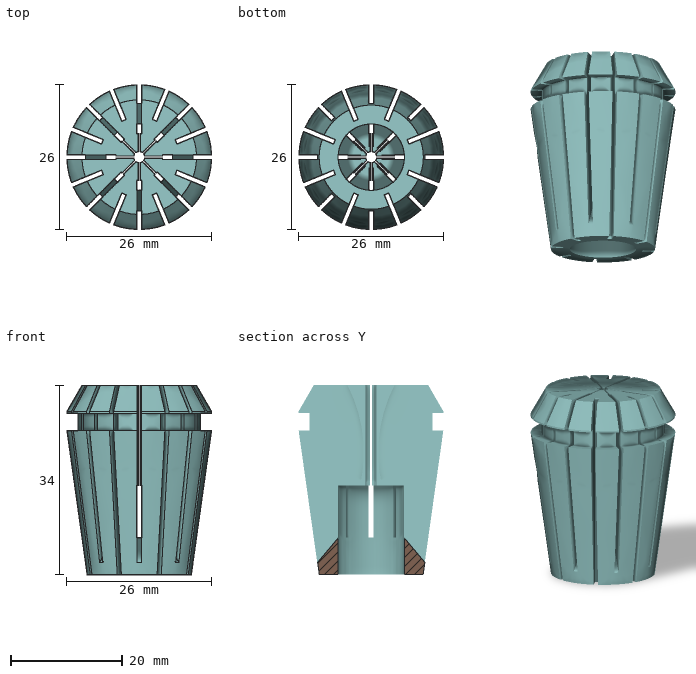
import cadquery as cq
import math

height = 34.0
width_at_slots = 25.98
taper_angle = 8.0
head_angle = 30.0

groove_bottom = 25.9
groove_top = 29.0
groove_radius = 11.0
head_rim_height = 0.3

bore_radius = 1.0
relief_radius = 5.95
relief_top = 16.0

slots_per_set = 8
slot_pitch = 360 / slots_per_set
slot_width = 0.8
outer_slot_inner_radius = 7.17
slot_arc_radius = 26.52
slot_arc_center_z = 21.9
slot_arc_closest_radius = 1.3
thin_slot_width = 0.35
slot_floor_outer_z = 2.25
slot_floor_inner_z = 6.65
cut_clearance = 0.68

max_radius = math.hypot(width_at_slots / 2, slot_width / 2)
base_radius = max_radius - groove_bottom * math.tan(math.radians(taper_angle))
head_rim_top = groove_top + head_rim_height
top_radius = max_radius - (height - head_rim_top) * math.tan(math.radians(head_angle))
floor_outer_radius = base_radius + slot_floor_outer_z * math.tan(math.radians(taper_angle))
slot_arc_center_radius = slot_arc_closest_radius + slot_arc_radius
cut_radius = max_radius + cut_clearance


def revolved(outline):
    """Solid of revolution about Z from a (radius, z) outline."""
    return cq.Workplane("XZ").polyline(outline).close().revolve(360, (0, 0, 0), (0, 1, 0))


def make_body():
    """Revolved collet: long taper, groove, head cone, and the stepped bore."""
    outline = [
        (relief_radius, 0),
        (base_radius, 0),
        (max_radius, groove_bottom),
        (groove_radius, groove_bottom),
        (groove_radius, groove_top),
        (max_radius, groove_top),
        (max_radius, head_rim_top),
        (top_radius, height),
        (bore_radius, height),
        (bore_radius, relief_top),
        (relief_radius, relief_top),
    ]
    return revolved(outline)


def radial_cutter(outline, width):
    """Plate with the given (radius, z) outline, centred on the XZ plane."""
    return cq.Workplane("XZ").polyline(outline).close().extrude(width / 2, both=True)


def outer_slot():
    """Slot over the full height that leaves an inner ring of material."""
    outline = [
        (outer_slot_inner_radius, 0),
        (cut_radius, 0),
        (cut_radius, height),
        (outer_slot_inner_radius, height),
    ]
    return radial_cutter(outline, slot_width)


def slot_floor():
    """Ring of material under the conical floor of the top slots."""
    outline = [
        (relief_radius, 0),
        (cut_radius, 0),
        (cut_radius, slot_floor_outer_z),
        (floor_outer_radius, slot_floor_outer_z),
        (relief_radius, slot_floor_inner_z),
    ]
    return revolved(outline)


def arc_end_radius(z):
    """Distance of the curved inner slot end from the axis at height z."""
    offset = z - slot_arc_center_z
    return slot_arc_center_radius - math.sqrt(slot_arc_radius**2 - offset**2)


def top_slot():
    """Slot open at the top, with a curved inner end and a thin cut into the bore."""
    arc_top = arc_end_radius(height)
    arc_bottom = arc_end_radius(relief_top)
    wide_cut = (
        cq.Workplane("XZ")
        .moveTo(arc_bottom, 0)
        .lineTo(cut_radius, 0)
        .lineTo(cut_radius, height)
        .lineTo(arc_top, height)
        .threePointArc((slot_arc_closest_radius, slot_arc_center_z), (arc_bottom, relief_top))
        .close()
        .extrude(slot_width / 2, both=True)
        .cut(slot_floor())
    )
    thin_outline = [
        (0, relief_top),
        (arc_top, relief_top),
        (arc_top, height),
        (0, height),
    ]
    return wide_cut.union(radial_cutter(thin_outline, thin_slot_width))


top_cutter = top_slot()
outer_cutter = outer_slot()
result = make_body()
for index in range(slots_per_set):
    angle = index * slot_pitch
    result = result.cut(top_cutter.rotate((0, 0, 0), (0, 0, 1), angle))
    result = result.cut(outer_cutter.rotate((0, 0, 0), (0, 0, 1), angle + slot_pitch / 2))